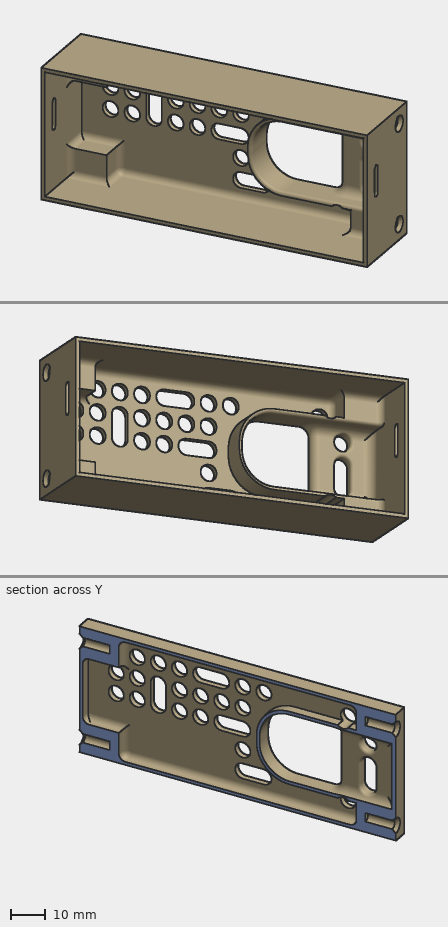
import cadquery as cq

LENGTH, DEPTH, HEIGHT = 105.0, 26.0, 42.0
WALL = 1.2
PANEL = 2.0
COVE = 2.0

BOSS_LENGTH = 12.0
BOSS_HEIGHT = 9.0
BOSS_FACE_Y = 16.0
SCREW_HOLE = 2.7
SCREW_HEAD = 5.0
SCREW_DEPTH = 10.0
SCREW_INSET = 5.0

END_SLOT_WIDTH, END_SLOT_LENGTH = 2.0, 10.0
END_SLOT_Y, END_SLOT_Z = 6.0, 25.0

COLLAR_LEFT = 58.7
COLLAR_HEIGHT = 24.4
COLLAR_RADIUS = 11.0
COLLAR_WALL = 1.2
LIP_ROUND = 1.0

PLATE_LEFT = 84.8
PLATE_Y = 23.0
PLATE_ROUND = 2.3
PLATE_COVE = 3.0
MOUTH_ROUND = 0.95

PITCH = 7.0
HOLE = 5.0
MIDDLE_COLUMN, MIDDLE_ROW = 6, 2

ROUND_HOLES = [
    (1, 0), (2, 0), (3, 0), (6, 0), (7, 0), (11, 0),
    (0, 1), (1, 1), (3, 1), (4, 1), (5, 1), (6, 1),
    (0, 2), (1, 2), (3, 2), (4, 2),
    (6, 3), (11, 4),
]
LEVEL_SLOTS = [(4, 0), (5, 2), (6, 4)]
UPRIGHT_SLOTS = [(2, 1)]
PLATE_COLUMN = 12
PLATE_HOLE_ROW = 1
PLATE_SLOT_ROW = 2

MIDDLE_X, MIDDLE_Z = LENGTH / 2, HEIGHT / 2
PANEL_Y = DEPTH - PANEL
INNER_RIGHT = LENGTH - WALL
INNER_TOP = HEIGHT - WALL
BOSS_SIDE_LEFT = WALL + BOSS_LENGTH
BOSS_SIDE_RIGHT = INNER_RIGHT - BOSS_LENGTH
BOSS_TOP_LOWER = WALL + BOSS_HEIGHT
BOSS_BOTTOM_UPPER = INNER_TOP - BOSS_HEIGHT
RECESS_LEFT = COLLAR_LEFT + COLLAR_WALL
RECESS_BOTTOM = MIDDLE_Z - COLLAR_HEIGHT / 2 + COLLAR_WALL
RECESS_TOP = MIDDLE_Z + COLLAR_HEIGHT / 2 - COLLAR_WALL

PICK_MARGIN = 0.01


def block(x0, x1, y0, y1, z0, z1):
    """Box between two opposite corners."""
    return cq.Workplane("XY").box(x1 - x0, y1 - y0, z1 - z0, centered=False).translate((x0, y0, z0))


def edges_in(body, x0, x1, y0, y1, z0, z1):
    """Edges that lie wholly inside a box, limits included."""
    low = (x0 - PICK_MARGIN, y0 - PICK_MARGIN, z0 - PICK_MARGIN)
    high = (x1 + PICK_MARGIN, y1 + PICK_MARGIN, z1 + PICK_MARGIN)
    return body.edges(cq.selectors.BoxSelector(low, high, boundingbox=True))


def shell_with_bosses():
    """Open box with four corner bosses, coved where they meet the panel and the walls."""
    ends = [(WALL, BOSS_SIDE_LEFT), (INNER_RIGHT, BOSS_SIDE_RIGHT)]
    levels = [(WALL, BOSS_TOP_LOWER), (INNER_TOP, BOSS_BOTTOM_UPPER)]

    body = block(0, LENGTH, 0, DEPTH, 0, HEIGHT)
    body = body.cut(block(WALL, INNER_RIGHT, 0, PANEL_Y, WALL, INNER_TOP))
    for wall_x, side_x in ends:
        x0, x1 = sorted((wall_x, side_x))
        for wall_z, side_z in levels:
            z0, z1 = sorted((wall_z, side_z))
            body = body.union(block(x0, x1, BOSS_FACE_Y, PANEL_Y, z0, z1))

    coved = []
    for wall_z, side_z in levels:
        z0, z1 = sorted((wall_z, side_z))
        coved += edges_in(body, WALL, INNER_RIGHT, BOSS_FACE_Y, PANEL_Y, wall_z, wall_z).vals()
        for wall_x, side_x in ends:
            x0, x1 = sorted((wall_x, side_x))
            coved += edges_in(body, wall_x, wall_x, BOSS_FACE_Y, BOSS_FACE_Y, z0, z1).vals()
            coved += edges_in(body, wall_x, wall_x, BOSS_FACE_Y, PANEL_Y, side_z, side_z).vals()
            coved += edges_in(body, side_x, side_x, PANEL_Y, PANEL_Y, z0, z1).vals()
            coved += edges_in(body, x0, x1, PANEL_Y, PANEL_Y, side_z, side_z).vals()
    return body.newObject(coved).fillet(COVE)


def recess_bar(inset, y0, y1):
    """Bar with a rounded left end, reaching the right end wall, inset from the collar's outside."""
    half_height = COLLAR_HEIGHT / 2 - inset
    bar = block(COLLAR_LEFT + inset, INNER_RIGHT, y0, y1, MIDDLE_Z - half_height, MIDDLE_Z + half_height)
    return bar.edges("|Y and <X").fillet(COLLAR_RADIUS - inset)


def add_recess(body):
    """Collar with the window inside it and the plate beside the window."""
    body = body.union(recess_bar(0, BOSS_FACE_Y, PANEL_Y))
    body = body.cut(recess_bar(COLLAR_WALL, 0, PLATE_Y))
    window_side = block(COLLAR_LEFT, PLATE_LEFT, 0, DEPTH, 0, HEIGHT)
    return body.cut(recess_bar(COLLAR_WALL, PLATE_Y, DEPTH).intersect(window_side))


def blend_plate(body):
    """Round the plate's edge at the window, then cove the plate into the walls around it."""
    body = edges_in(
        body, PLATE_LEFT, PLATE_LEFT, PLATE_Y, PLATE_Y, RECESS_BOTTOM, RECESS_TOP
    ).fillet(PLATE_ROUND)

    coved = edges_in(
        body, INNER_RIGHT, INNER_RIGHT, PLATE_Y, PLATE_Y, RECESS_BOTTOM, RECESS_TOP
    ).vals()
    for z in (RECESS_BOTTOM, RECESS_TOP):
        coved += edges_in(body, PLATE_LEFT, INNER_RIGHT, PLATE_Y, DEPTH, z, z).vals()
    return body.newObject(coved).fillet(PLATE_COVE)


def round_lip(body):
    """Round the inner front edge of the collar."""
    return edges_in(
        body, RECESS_LEFT, INNER_RIGHT, BOSS_FACE_Y, BOSS_FACE_Y, RECESS_BOTTOM, RECESS_TOP
    ).fillet(LIP_ROUND)


def column_x(column):
    return MIDDLE_X + (column - MIDDLE_COLUMN) * PITCH


def row_z(row):
    return MIDDLE_Z + (MIDDLE_ROW - row) * PITCH


def grid_cutter(column, row, columns=0, rows=0):
    """Round hole, or a slot that reaches some columns to the right or some rows down."""
    center = (column_x(column + columns / 2), BOSS_FACE_Y, row_z(row + rows / 2))
    outline = cq.Workplane("XZ", origin=center)
    if columns:
        outline = outline.slot2D(columns * PITCH + HOLE, HOLE)
    elif rows:
        outline = outline.slot2D(rows * PITCH + HOLE, HOLE, 90)
    else:
        outline = outline.circle(HOLE / 2)
    return outline.extrude(BOSS_FACE_Y - DEPTH)


def cut_panel_grid(body):
    for column, row in ROUND_HOLES:
        body = body.cut(grid_cutter(column, row))
    for column, row in LEVEL_SLOTS:
        body = body.cut(grid_cutter(column, row, columns=1))
    for column, row in UPRIGHT_SLOTS:
        body = body.cut(grid_cutter(column, row, rows=1))
    return body


def cut_plate_holes(body):
    """Hole and slot in the plate, with rounded mouths that run up into the coves."""
    x = column_x(PLATE_COLUMN)
    radius = HOLE / 2
    for row, rows in ((PLATE_HOLE_ROW, 0), (PLATE_SLOT_ROW, 1)):
        body = body.cut(grid_cutter(PLATE_COLUMN, row, rows=rows))
        bottom = row_z(row + rows) - radius
        top = row_z(row) + radius
        mouth = edges_in(body, x - radius, x + radius, BOSS_FACE_Y, PLATE_Y, bottom, top)
        body = mouth.fillet(MOUTH_ROUND)
    return body


def screw_cutter():
    """Countersunk blind hole along +X, starting at the origin."""
    hole_radius, head_radius = SCREW_HOLE / 2, SCREW_HEAD / 2
    profile = [
        (0, 0),
        (0, head_radius),
        (head_radius - hole_radius, hole_radius),
        (SCREW_DEPTH, hole_radius),
        (SCREW_DEPTH, 0),
    ]
    return cq.Workplane("XY").polyline(profile).close().revolve(360, (0, 0), (1, 0))


def cut_screw_holes(body):
    for z in (SCREW_INSET, HEIGHT - SCREW_INSET):
        left_hole = screw_cutter().translate((0, DEPTH - SCREW_INSET, z))
        right_hole = left_hole.mirror("YZ", (MIDDLE_X, 0, 0))
        body = body.cut(left_hole).cut(right_hole)
    return body


def cut_end_slots(body):
    outline = cq.Workplane("YZ", origin=(0, END_SLOT_Y, END_SLOT_Z))
    return body.cut(outline.slot2D(END_SLOT_LENGTH, END_SLOT_WIDTH, 90).extrude(LENGTH))


result = shell_with_bosses()
result = add_recess(result)
result = blend_plate(result)
result = round_lip(result)
result = cut_panel_grid(result)
result = cut_plate_holes(result)
result = cut_screw_holes(result)
result = cut_end_slots(result).solids()